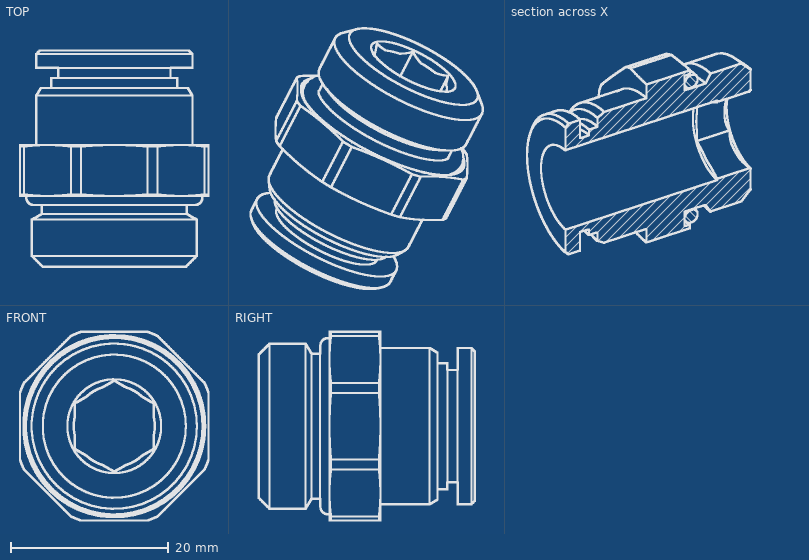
import cadquery as cq
import math

LENGTH = 27.5
THREAD_CHAMFER = 1.4
THREAD_END = 6.0
NECK_START = 6.75
NUT_START = 9.0
NUT_END = 15.5
COLLAR_CHAMFER_START = 21.75
COLLAR_END = 22.75
STEP_END = 24.0
FLANGE_START = 25.3
FLANGE_CHAMFER_START = 27.03

THREAD_RADIUS = 10.5
NECK_RADIUS = 9.25
COLLAR_RADIUS = 9.95
COLLAR_END_RADIUS = 9.35
STEP_RADIUS = 8.03
SLEEVE_RADIUS = 7.15
FLANGE_END_RADIUS = 9.5

NUT_SIDES = 8
NUT_ACROSS_FLATS = 24.0
NUT_CORNER_RADIUS = 12.73
NUT_FACE_RADIUS = 11.9
NUT_CHAMFER_LENGTH = 0.22

RING_SECTION_RADIUS = 1.0
RING_CENTRE_RADIUS = NECK_RADIUS + RING_SECTION_RADIUS
RING_CENTRE_Y = 8.83
RECESS_RADIUS = 11.38
RECESS_MOUTH_RADIUS = 11.58
RECESS_CHAMFER = RECESS_MOUTH_RADIUS - RECESS_RADIUS
RECESS_FLOOR = RING_CENTRE_Y + RING_SECTION_RADIUS

KEY_SIDES = 6
KEY_ACROSS_FLATS = 10.0
KEY_END = 5.0
PILOT_RADIUS = 5.15
MOUTH_RADIUS = 5.97
MOUTH_DEPTH = MOUTH_RADIUS - PILOT_RADIUS
TUBE_RADIUS = 6.0


def revolve_about_y(points):
    """Turn a closed (radius, y) outline about the Y axis."""
    return cq.Workplane("XY").polyline(points).close().revolve(360, (0, 0, 0), (0, 1, 0))


def prism(sides, across_flats, start, end):
    """Regular prism along Y with two flats square to X."""
    corner_radius = across_flats / 2 / math.cos(math.pi / sides)
    corners = []
    for index in range(sides):
        angle = (2 * index + 1) * math.pi / sides
        corners.append((corner_radius * math.cos(angle), corner_radius * math.sin(angle)))
    plane = cq.Workplane("XZ", origin=(0, start, 0))
    return plane.polyline(corners).close().extrude(start - end)


def turned_body():
    return revolve_about_y([
        (0, 0),
        (THREAD_RADIUS - THREAD_CHAMFER, 0),
        (THREAD_RADIUS, THREAD_CHAMFER),
        (THREAD_RADIUS, THREAD_END),
        (NECK_RADIUS, NECK_START),
        (NECK_RADIUS, NUT_START),
        (COLLAR_RADIUS, NUT_START),
        (COLLAR_RADIUS, COLLAR_CHAMFER_START),
        (COLLAR_END_RADIUS, COLLAR_END),
        (STEP_RADIUS, COLLAR_END),
        (STEP_RADIUS, STEP_END),
        (SLEEVE_RADIUS, STEP_END),
        (SLEEVE_RADIUS, FLANGE_START),
        (COLLAR_RADIUS, FLANGE_START),
        (COLLAR_RADIUS, FLANGE_CHAMFER_START),
        (FLANGE_END_RADIUS, LENGTH),
        (0, LENGTH),
    ])


def octagonal_nut():
    envelope = revolve_about_y([
        (0, NUT_START),
        (NUT_FACE_RADIUS, NUT_START),
        (NUT_CORNER_RADIUS, NUT_START + NUT_CHAMFER_LENGTH),
        (NUT_CORNER_RADIUS, NUT_END - NUT_CHAMFER_LENGTH),
        (NUT_FACE_RADIUS, NUT_END),
        (0, NUT_END),
    ])
    return prism(NUT_SIDES, NUT_ACROSS_FLATS, NUT_START, NUT_END).intersect(envelope)


def ring_recess():
    return revolve_about_y([
        (NECK_RADIUS, NUT_START),
        (RECESS_MOUTH_RADIUS, NUT_START),
        (RECESS_RADIUS, NUT_START + RECESS_CHAMFER),
        (RECESS_RADIUS, RECESS_FLOOR),
        (NECK_RADIUS, RECESS_FLOOR),
    ])


def stepped_bore():
    return revolve_about_y([
        (0, 0),
        (MOUTH_RADIUS, 0),
        (PILOT_RADIUS, MOUTH_DEPTH),
        (PILOT_RADIUS, KEY_END),
        (TUBE_RADIUS, KEY_END),
        (TUBE_RADIUS, LENGTH),
        (0, LENGTH),
    ])


def make_fitting():
    body = turned_body().union(octagonal_nut())
    body = body.cut(ring_recess())
    body = body.cut(stepped_bore())
    return body.cut(prism(KEY_SIDES, KEY_ACROSS_FLATS, 0, KEY_END))


def make_sealing_ring():
    section = cq.Workplane("XY").center(RING_CENTRE_RADIUS, RING_CENTRE_Y).circle(RING_SECTION_RADIUS)
    return section.revolve(360, (-RING_CENTRE_RADIUS, 0, 0), (-RING_CENTRE_RADIUS, 1, 0))


fitting = make_fitting()
sealing_ring = make_sealing_ring()

result = cq.Compound.makeCompound([fitting.val(), sealing_ring.val()])